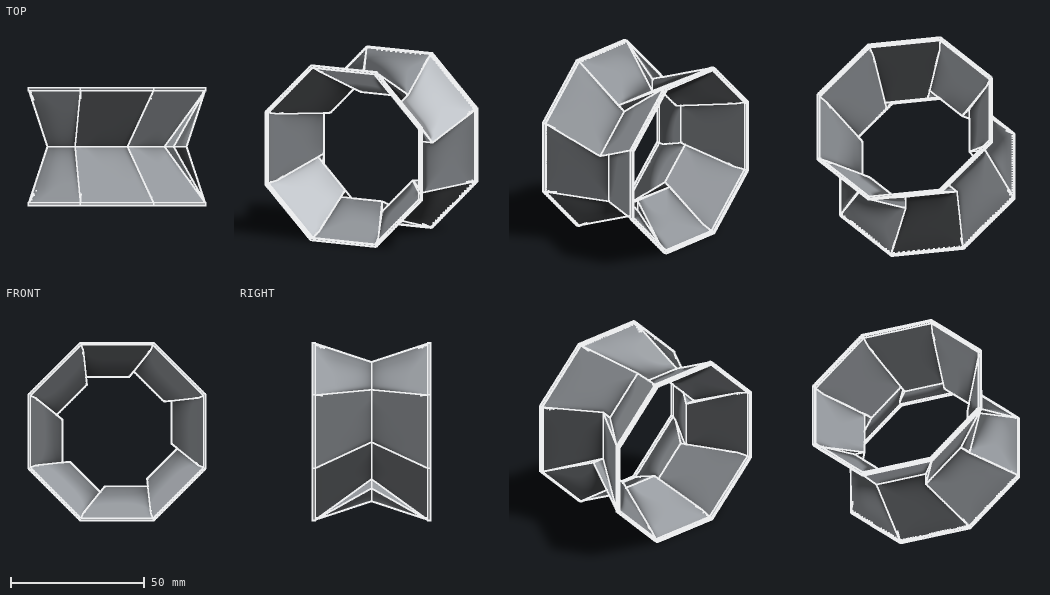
import cadquery as cq
import math

across_flats = 66.8
length = 44.4
sides = 8
sector = 360.0 / sides
corner_slope = math.tan(math.radians(sector / 2))
fold_cos = math.cos(math.radians(sector))
fold_sin = math.sin(math.radians(sector))

rim_length = 1.15
rim_width = 0.8
rim_step = 0.3

panel_rim_outer = across_flats / 2 - rim_step
panel_rim_inner = across_flats / 2 - rim_width
panel_thickness = 0.9
waist_inner = 20.45
waist_outer = waist_inner + panel_thickness

step_outer_x = 3.95
step_inner_x = 4.55

inner_miter_drop = 2.0

half_length = length / 2
panel_depth = half_length - rim_length


def turned(x, y, z, index):
    """Point turned about the Y axis by a number of sectors."""
    angle = math.radians(index * sector)
    return cq.Vector(
        x * math.cos(angle) + z * math.sin(angle),
        y,
        z * math.cos(angle) - x * math.sin(angle),
    )


def face(*points):
    return cq.Face.makeFromWires(cq.Wire.makePolygon(points, close=True))


def panel_faces(waist, rim, step_x, miter_drop):
    """Folded skin: a flat panel and a triangular step wall in every sector.

    Neighbouring panels meet in a mitre from the rim corner to the tip of the step wall.
    """
    tip = rim - miter_drop
    tip_x = tip * corner_slope
    tip_y = -panel_depth * (tip - waist) / (rim - waist)
    panel_end_x = (step_x - waist * fold_sin) / fold_cos
    corner_x = rim * corner_slope
    faces = []
    waist_points = []
    for index in range(sides):
        waist_start = turned(step_x, 0, waist, index)
        waist_end = turned(panel_end_x, 0, waist, index)
        previous_end = turned(panel_end_x, 0, waist, index + 1)
        rim_start = turned(corner_x, -panel_depth, rim, index)
        rim_end = turned(-corner_x, -panel_depth, rim, index)
        tip_start = turned(tip_x, tip_y, tip, index)
        tip_end = turned(-tip_x, tip_y, tip, index)
        if miter_drop > 0:
            outline = (waist_start, waist_end, tip_end, rim_end, rim_start, tip_start)
        else:
            outline = (waist_start, waist_end, rim_end, rim_start)
        faces.append(face(*outline))
        faces.append(face(waist_start, tip_start, previous_end))
        waist_points = [waist_start, waist_end] + waist_points
    return faces, cq.Wire.makePolygon(waist_points, close=True)


def rim_wire(rim):
    corner_x = rim * corner_slope
    corners = [turned(corner_x, -panel_depth, rim, index) for index in range(sides)]
    return cq.Wire.makePolygon(corners, close=True)


def make_folded_wall():
    outer_faces, outer_waist = panel_faces(waist_outer, panel_rim_outer, step_outer_x, 0)
    inner_faces, inner_waist = panel_faces(waist_inner, panel_rim_inner, step_inner_x, inner_miter_drop)
    waist_face = cq.Face.makeFromWires(outer_waist, [inner_waist])
    rim_face = cq.Face.makeFromWires(rim_wire(panel_rim_outer), [rim_wire(panel_rim_inner)])
    shell = cq.Shell.makeShell(outer_faces + inner_faces + [waist_face, rim_face])
    return cq.Workplane(cq.Solid.makeSolid(shell).fix())


def octagon_prism(apothem):
    corners = [turned(apothem * corner_slope, 0, apothem, index) for index in range(sides)]
    return (
        cq.Workplane("XZ", origin=(0, -panel_depth, 0))
        .polyline([(corner.x, corner.z) for corner in corners])
        .close()
        .extrude(rim_length)
    )


rim_ring = octagon_prism(across_flats / 2).cut(octagon_prism(panel_rim_inner))
half = rim_ring.union(make_folded_wall())

result = half.union(half.mirror("XZ"))